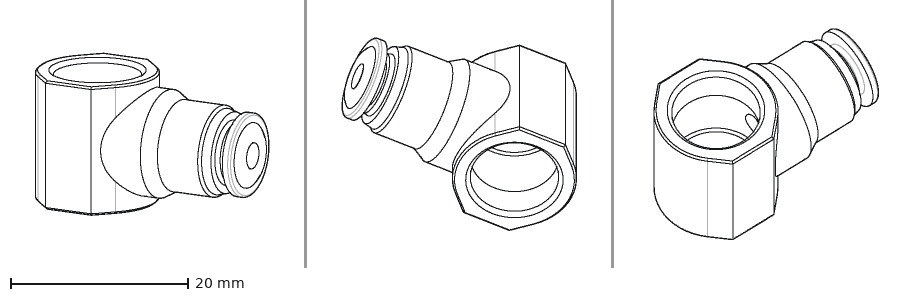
import cadquery as cq
import math

overall_length = 27.1
body_width = 14.0
body_radius = body_width / 2
body_height = 15.0
body_chamfer = 0.25

bore_radius = 4.99
bore_chamfer = 0.51
relief_height = 7.0
relief_radius = 5.5

shoulder_radius = 6.2
shoulder_end = 8.78
barrel_radius = 5.25
barrel_start = 10.45
barrel_end = 15.6
nose_start = 15.93
nose_start_radius = 4.93
nose_end = 17.0
nose_end_radius = 4.65
collar_start_radius = 3.75
collar_end = 17.6
collar_end_radius = 3.58

neck_radius = 2.76
neck_fillet = 0.5
flange_radius = 4.82
flange_start = 18.54
flange_end = 19.45
flange_round = 0.25
dome_radius = 3.75
crest_radius = 2.38
branch_end = overall_length - body_radius
dome_curve_radius = 1.75

passage_radius = 1.5


def make_body():
    tangent_offset = body_radius / math.sqrt(2)
    flat_half_width = body_radius * (math.sqrt(2) - 1)
    return (
        cq.Workplane("XY", origin=(0, 0, -body_height / 2))
        .moveTo(flat_half_width, body_radius)
        .lineTo(tangent_offset, tangent_offset)
        .threePointArc((body_radius, 0), (tangent_offset, -tangent_offset))
        .lineTo(flat_half_width, -body_radius)
        .lineTo(-flat_half_width, -body_radius)
        .lineTo(-tangent_offset, -tangent_offset)
        .threePointArc((-body_radius, 0), (-tangent_offset, tangent_offset))
        .lineTo(-flat_half_width, body_radius)
        .close()
        .extrude(body_height)
        .faces("|Z")
        .edges()
        .chamfer(body_chamfer)
    )


def make_branch():
    crest_to_passage = crest_radius - passage_radius
    lip_depth = dome_curve_radius - math.sqrt(dome_curve_radius**2 - crest_to_passage**2)
    lip_end = branch_end - lip_depth
    return (
        cq.Workplane("XZ")
        .lineTo(0, shoulder_radius)
        .lineTo(shoulder_end, shoulder_radius)
        .lineTo(barrel_start, barrel_radius)
        .lineTo(barrel_end, barrel_radius)
        .lineTo(nose_start, nose_start_radius)
        .lineTo(nose_end, nose_end_radius)
        .lineTo(nose_end, collar_start_radius)
        .lineTo(collar_end, collar_end_radius)
        .lineTo(collar_end, neck_radius)
        .lineTo(flange_start - neck_fillet, neck_radius)
        .radiusArc((flange_start, neck_radius + neck_fillet), -neck_fillet)
        .lineTo(flange_start, flange_radius)
        .lineTo(flange_end - flange_round, flange_radius)
        .radiusArc((flange_end, flange_radius - flange_round), flange_round)
        .lineTo(flange_end, dome_radius)
        .threePointArc((branch_end, crest_radius), (lip_end, passage_radius))
        .lineTo(lip_end, 0)
        .close()
        .revolve(360, (0, 0), (1, 0))
    )


def make_bore():
    top = body_height / 2
    relief_top = relief_height / 2
    mouth = bore_radius + bore_chamfer
    return (
        cq.Workplane("XZ")
        .moveTo(0, -top)
        .lineTo(mouth, -top)
        .lineTo(bore_radius, -top + bore_chamfer)
        .lineTo(bore_radius, -relief_top)
        .lineTo(relief_radius, -relief_top)
        .lineTo(relief_radius, relief_top)
        .lineTo(bore_radius, relief_top)
        .lineTo(bore_radius, top - bore_chamfer)
        .lineTo(mouth, top)
        .lineTo(0, top)
        .close()
        .revolve(360, (0, 0), (0, 1))
    )


def make_passage():
    return cq.Workplane("YZ").circle(passage_radius).extrude(branch_end)


result = make_body().union(make_branch()).cut(make_bore()).cut(make_passage())